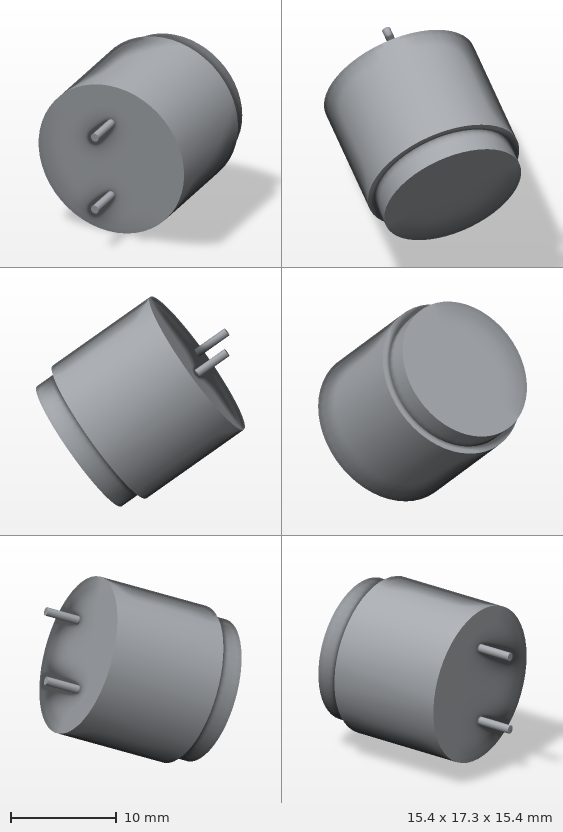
import cadquery as cq

total_length = 17.3
body_diameter = 15.4
cap_diameter = 13.93
cap_length = 2.37
pin_length = 3.5
pin_diameter = 0.81
pin_spacing = 7.6
body_length = total_length - cap_length - pin_length


def cylinder_along_y(diameter, start_y, length, center_z=0.0):
    """Cylinder extending from start_y towards +Y."""
    return (
        cq.Workplane("XZ", origin=(0, start_y, center_z))
        .circle(diameter / 2)
        .extrude(-length)
    )


body = cylinder_along_y(body_diameter, 0, body_length)
cap = cylinder_along_y(cap_diameter, body_length, cap_length)
result = body.union(cap)

for side in (-1, 1):
    pin = cylinder_along_y(pin_diameter, -pin_length, pin_length, side * pin_spacing / 2)
    result = result.union(pin)